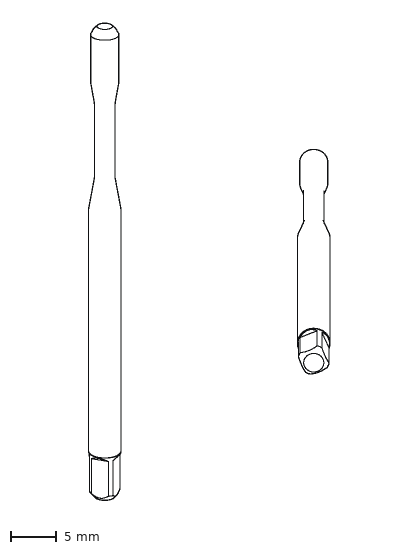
import cadquery as cq
import math

total_length = 56.1

shank_diameter = 3.58
head_diameter = 3.1
neck_diameter = 2.27
drive_diameter = 3.44
drive_end_diameter = 2.2
tip_diameter = 1.7
tip_shoulder_diameter = 2.55

drive_end_chamfer_top = 0.74
drive_top = 5.35
shank_top = 34.2
head_bottom = 49.4
tip_shoulder_height = total_length - 0.44
head_top = total_length - 0.98

upper_cone_angle = 9.4
lower_cone_angle = 9.7
upper_blend_radius = 1.8
lower_blend_radius = 1.0

across_flats = 2.79
flat_top = 4.9
flat_count = 4


def cone_length(large_diameter, angle):
    """Axial length of a cone that narrows from large_diameter to the neck."""
    return (large_diameter - neck_diameter) / 2 / math.tan(math.radians(angle))


def turned_body():
    """Revolve the half profile of the shank, neck and head about Z."""
    neck_bottom = shank_top + cone_length(shank_diameter, lower_cone_angle)
    neck_top = head_bottom - cone_length(head_diameter, upper_cone_angle)
    profile = [
        (0, 0),
        (drive_end_diameter / 2, 0),
        (drive_diameter / 2, drive_end_chamfer_top),
        (drive_diameter / 2, drive_top),
        (shank_diameter / 2, drive_top),
        (shank_diameter / 2, shank_top),
        (neck_diameter / 2, neck_bottom),
        (neck_diameter / 2, neck_top),
        (head_diameter / 2, head_bottom),
        (head_diameter / 2, head_top),
        (tip_shoulder_diameter / 2, tip_shoulder_height),
        (tip_diameter / 2, total_length),
        (0, total_length),
    ]
    body = cq.Workplane("XZ").polyline(profile).close().revolve(360, (0, 0, 0), (0, 1, 0))
    body = blend_neck_end(body, neck_bottom, lower_blend_radius)
    return blend_neck_end(body, neck_top, upper_blend_radius)


def blend_neck_end(body, height, radius):
    """Round the inner corner between the neck and a cone at the given height."""
    ring = cq.selectors.BoxSelector(
        (-shank_diameter, -shank_diameter, height - radius / 2),
        (shank_diameter, shank_diameter, height + radius / 2),
    )
    return body.edges("%CIRCLE").edges(ring).fillet(radius)


def flat_cutter():
    """Block that cuts the -Y flat and runs out at 45 degrees at its upper end."""
    flat_offset = across_flats / 2
    outer = shank_diameter
    runout = outer - flat_offset
    return (
        cq.Workplane("YZ")
        .moveTo(-flat_offset, 0)
        .lineTo(-flat_offset, flat_top)
        .lineTo(-outer, flat_top + runout)
        .lineTo(-outer, 0)
        .close()
        .extrude(shank_diameter / 2, both=True)
    )


def cut_square_drive(body):
    """Cut the four equal flats around the drive end."""
    for index in range(flat_count):
        angle = index * 360 / flat_count
        body = body.cut(flat_cutter().rotate((0, 0, 0), (0, 0, 1), angle))
    return body


result = cut_square_drive(turned_body())